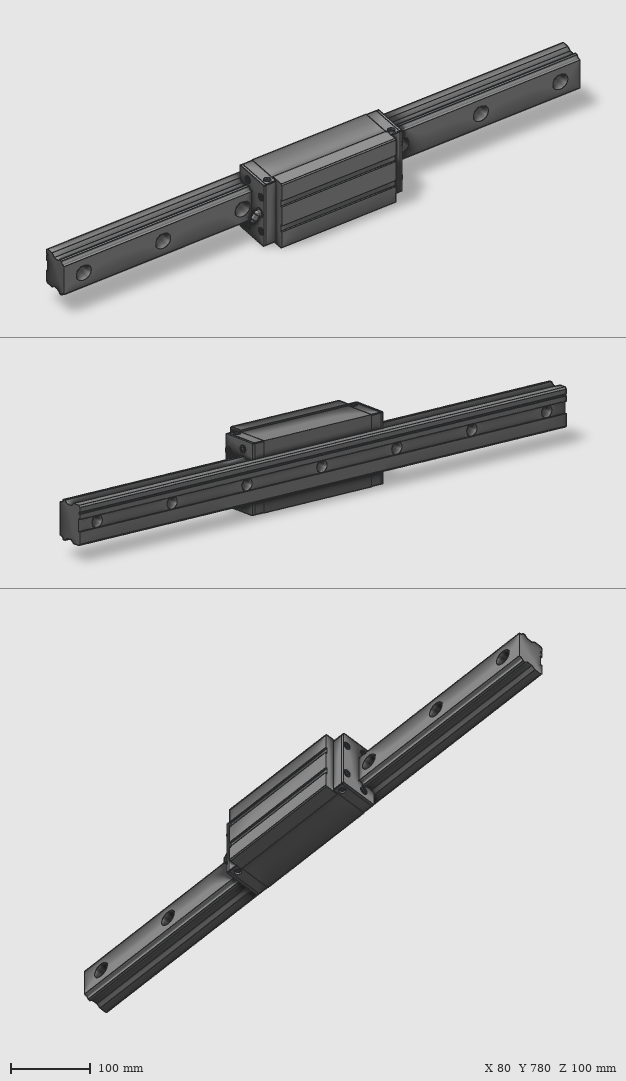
import cadquery as cq
import math


RAIL_LENGTH = 780.0
RAIL_HALF_WIDTH = 26.5
RAIL_HEIGHT = 40.0
RAIL_BASE_CHAMFER = 2.0
RAIL_WAIST_HALF_WIDTH = 23.0
RAIL_TOP_HALF_WIDTH = 22.0
BEVEL_START = 12.5
BEVEL_END = 18.0
LOWER_RACE_START = 24.0
LOWER_RACE_END = 30.0
UPPER_RACE_START = 33.5
UPPER_RACE_END = 37.0
UPPER_RACE_HALF_WIDTH = 23.0
RACE_SAG = 1.0
BASE_CHANNEL_WIDTH = 16.0
BASE_CHANNEL_DEPTH = 2.0
MARK_GROOVE_WIDTH = 2.0
MARK_GROOVE_DEPTH = 1.5
MARK_GROOVE_Z = 16.0
HOLE_COUNT = 7
HOLE_PITCH = 120.0
HOLE_DIAMETER = 16.0
COUNTERBORE_DIAMETER = 23.0
COUNTERBORE_DEPTH = 20.0

CARRIAGE_Y = -1.95
BLOCK_BASE_X = 13.0
BLOCK_LENGTH = 172.0
BLOCK_TOP_X = 80.0
BLOCK_HALF_WIDTH = 50.0
BLOCK_STEP_X = 60.0
BLOCK_SKIRT_HALF_WIDTH = 47.5
BLOCK_CHAMFER = 1.5
TOP_GROOVE_WIDTH = 9.0
TOP_GROOVE_DEPTH = 2.0
TOP_GROOVE_Z = 19.5

END_BASE_X = BLOCK_BASE_X
END_TOP_X = 67.0
END_HALF_WIDTH = BLOCK_SKIRT_HALF_WIDTH
END_CHAMFER = 1.0
CAP_THICKNESS = 15.0
SEAL_THICKNESS = 3.5
PORT_X = 58.5
PORT_DIAMETER = 9.0
PORT_DEPTH = 4.0
SCREW_PLACES = [(32.0, 36.0), (62.0, 26.5)]
SCREW_HEAD_DIAMETER = 10.0
SCREW_HEAD_HEIGHT = 1.2
SCREW_SOCKET_DIAMETER = 5.5
SCREW_SOCKET_DEPTH = 1.0

NIPPLE_X = 58.0
COLLAR_DIAMETER = 14.0
STEM_DIAMETER = 9.0
STEM_LENGTH = 3.0
ARM_TILT = 50.0
ARM_DIAMETER = 8.5
ARM_LENGTH = 9.0
TIP_DIAMETER = 4.2
TIP_LENGTH = 5.0

CAP_START = BLOCK_LENGTH / 2
SEAL_START = CAP_START + CAP_THICKNESS
SEAL_END = SEAL_START + SEAL_THICKNESS


def bar(points, length):
    """Prism along Y, centred on Y = 0, from (x, z) outline points."""
    return cq.Workplane("XZ").polyline(points).close().extrude(length / 2, both=True)


def strip(x_from, x_to, z_centre, width, length):
    """Box along Y between two X levels."""
    return cq.Workplane("XY").box(x_to - x_from, length, width).translate(
        ((x_from + x_to) / 2, 0, z_centre)
    )


def rod_y(diameter, x, z, y_from, y_to):
    """Cylinder along Y between two Y levels."""
    plane = cq.Plane(origin=(x, y_from, z), xDir=(1, 0, 0), normal=(0, 1, 0))
    return cq.Workplane(plane).circle(diameter / 2).extrude(y_to - y_from)


def mirrored_outline(half):
    """Close a +Z half outline with its mirror image across Z = 0."""
    return half + [(x, -z) for x, z in reversed(half)]


def race_middle(start, end):
    """Middle point of a ball race arc, sunk below its chord towards the rail's core."""
    dx = end[0] - start[0]
    dz = end[1] - start[1]
    chord = math.hypot(dx, dz)
    return (
        (start[0] + end[0]) / 2 + RACE_SAG * dz / chord,
        (start[1] + end[1]) / 2 - RACE_SAG * dx / chord,
    )


def rail_blank(length):
    """Rail section with a waist and two ball races on each flank, before grooves and holes."""
    lower_race = (LOWER_RACE_START, RAIL_WAIST_HALF_WIDTH), (LOWER_RACE_END, RAIL_HALF_WIDTH)
    upper_race = (UPPER_RACE_START, RAIL_HALF_WIDTH), (UPPER_RACE_END, UPPER_RACE_HALF_WIDTH)
    half = (
        cq.Workplane("XZ")
        .lineTo(0, RAIL_HALF_WIDTH - RAIL_BASE_CHAMFER)
        .lineTo(RAIL_BASE_CHAMFER, RAIL_HALF_WIDTH)
        .lineTo(BEVEL_START, RAIL_HALF_WIDTH)
        .lineTo(BEVEL_END, RAIL_WAIST_HALF_WIDTH)
        .lineTo(*lower_race[0])
        .threePointArc(race_middle(*lower_race), lower_race[1])
        .lineTo(*upper_race[0])
        .threePointArc(race_middle(*upper_race), upper_race[1])
        .lineTo(RAIL_HEIGHT, RAIL_TOP_HALF_WIDTH)
        .lineTo(RAIL_HEIGHT, 0)
        .close()
        .extrude(length / 2, both=True)
    )
    return half.union(half.mirror("XY")).clean()


def make_rail():
    rail = rail_blank(RAIL_LENGTH)
    rail = rail.cut(strip(0, BASE_CHANNEL_DEPTH, 0, BASE_CHANNEL_WIDTH, RAIL_LENGTH))
    rail = rail.cut(strip(0, MARK_GROOVE_DEPTH, MARK_GROOVE_Z, MARK_GROOVE_WIDTH, RAIL_LENGTH))
    counterbore_floor = RAIL_HEIGHT - COUNTERBORE_DEPTH
    for index in range(HOLE_COUNT):
        y = (index - (HOLE_COUNT - 1) / 2) * HOLE_PITCH
        hole = cq.Workplane("YZ").center(y, 0).circle(HOLE_DIAMETER / 2).extrude(RAIL_HEIGHT)
        counterbore = (
            cq.Workplane("YZ", origin=(counterbore_floor, 0, 0))
            .center(y, 0)
            .circle(COUNTERBORE_DIAMETER / 2)
            .extrude(COUNTERBORE_DEPTH)
        )
        rail = rail.cut(hole).cut(counterbore)
    return rail


def make_block():
    block = bar(
        mirrored_outline(
            [
                (BLOCK_BASE_X, BLOCK_SKIRT_HALF_WIDTH),
                (BLOCK_STEP_X, BLOCK_SKIRT_HALF_WIDTH),
                (BLOCK_STEP_X, BLOCK_HALF_WIDTH),
                (BLOCK_TOP_X - BLOCK_CHAMFER, BLOCK_HALF_WIDTH),
                (BLOCK_TOP_X, BLOCK_HALF_WIDTH - BLOCK_CHAMFER),
            ]
        ),
        BLOCK_LENGTH,
    )
    groove_floor = BLOCK_TOP_X - TOP_GROOVE_DEPTH
    for side in (1, -1):
        block = block.cut(
            strip(groove_floor, BLOCK_TOP_X, side * TOP_GROOVE_Z, TOP_GROOVE_WIDTH, BLOCK_LENGTH)
        )
    return block.cut(rail_blank(BLOCK_LENGTH)).translate((0, CARRIAGE_Y, 0))


def end_plate(y_inner, thickness):
    """Plate straddling the rail, on the +Y side of the carriage centre."""
    plate = strip(END_BASE_X, END_TOP_X, 0, 2 * END_HALF_WIDTH, thickness)
    plate = plate.edges("|Y").chamfer(END_CHAMFER)
    return plate.cut(rail_blank(thickness)).translate((0, y_inner + thickness / 2, 0))


def at_end(body, end):
    """Put a body made for the +Y end (end = 1) at the chosen end of the carriage."""
    if end < 0:
        body = body.mirror("XZ")
    return body.translate((0, CARRIAGE_Y, 0))


def make_cap(end):
    cap = end_plate(CAP_START, CAP_THICKNESS)
    port_y = CAP_START + CAP_THICKNESS / 2
    for side in (1, -1):
        port = (
            cq.Workplane("XY", origin=(PORT_X, port_y, side * END_HALF_WIDTH))
            .circle(PORT_DIAMETER / 2)
            .extrude(-side * PORT_DEPTH)
        )
        cap = cap.cut(port)
    return at_end(cap, end)


def make_seal(end):
    seal = end_plate(SEAL_START, SEAL_THICKNESS)
    head_top = SEAL_END + SCREW_HEAD_HEIGHT
    for x, z in SCREW_PLACES:
        for side in (1, -1):
            head = rod_y(SCREW_HEAD_DIAMETER, x, side * z, SEAL_END, head_top)
            socket = rod_y(
                SCREW_SOCKET_DIAMETER, x, side * z, head_top - SCREW_SOCKET_DEPTH, head_top
            )
            seal = seal.union(head).cut(socket)
    if end < 0:
        seal = seal.cut(rod_y(COLLAR_DIAMETER, NIPPLE_X, 0, SEAL_START, SEAL_END))
    return at_end(seal, end)


def make_nipple():
    """Nipple on the -Y end, its arm tilted towards -Z; shaped at +Y, then mirrored."""
    collar = rod_y(COLLAR_DIAMETER, NIPPLE_X, 0, SEAL_START, SEAL_END)
    stem_end = SEAL_END + STEM_LENGTH
    stem = rod_y(STEM_DIAMETER, NIPPLE_X, 0, SEAL_END, stem_end)
    elbow = cq.Workplane("XY").sphere(STEM_DIAMETER / 2)
    arm = cq.Workplane("XZ").circle(ARM_DIAMETER / 2).extrude(-ARM_LENGTH)
    tip = (
        cq.Workplane("XZ", origin=(0, ARM_LENGTH, 0))
        .circle(ARM_DIAMETER / 2)
        .workplane(offset=-TIP_LENGTH)
        .circle(TIP_DIAMETER / 2)
        .loft()
    )
    bent_arm = (
        elbow.union(arm)
        .union(tip)
        .rotate((0, 0, 0), (1, 0, 0), -ARM_TILT)
        .translate((NIPPLE_X, stem_end, 0))
    )
    bent_arm = bent_arm.cut(rod_y(COLLAR_DIAMETER, NIPPLE_X, 0, SEAL_START, SEAL_END))
    return at_end(collar.union(stem).union(bent_arm), -1)


rail = make_rail()
block = make_block()
caps = [make_cap(end) for end in (1, -1)]
seals = [make_seal(end) for end in (1, -1)]
nipple = make_nipple()

result = cq.Compound.makeCompound(
    [
        rail.val(),
        block.val(),
        *[cap.val() for cap in caps],
        *[seal.val() for seal in seals],
        nipple.val(),
    ]
)